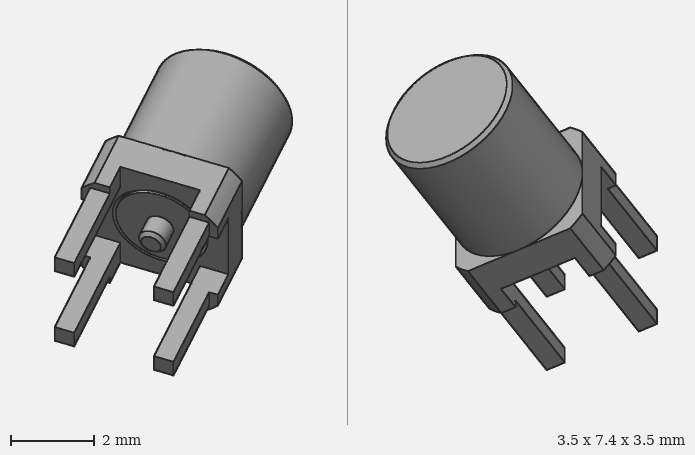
import cadquery as cq

base_width = 3.5
base_length = 1.6
corner_circle_radius = 2.25
channel_width = 2.04
channel_depth = 0.695

total_length = 7.4
leg_length = 2.36
barrel_length = total_length - leg_length - base_length
barrel_edge_chamfer = 0.1

leg_width = 0.5
leg_centre = (channel_width + leg_width) / 2

groove_radius = 1.22
groove_depth = 0.08
pin_radius = 0.35
pin_height = 0.61
pin_chamfer = 0.095


def disc(radius, start, end):
    """Cylinder about the Y axis from Y = start to Y = end."""
    plane = cq.Workplane("XZ", origin=(0, start, 0))
    return plane.circle(radius).extrude(start - end)


def block(size_x, size_z, start, end):
    """Box centred on the Y axis from Y = start to Y = end."""
    return cq.Workplane("XZ", origin=(0, start, 0)).rect(size_x, size_z).extrude(start - end)


def make_base():
    base = block(base_width, base_width, 0, base_length)
    base = base.intersect(disc(corner_circle_radius, 0, base_length))
    base = base.cut(block(base_width, channel_width, 0, channel_depth))
    return base.cut(block(channel_width, base_width, 0, channel_depth))


def make_barrel():
    barrel = disc(base_width / 2, base_length, base_length + barrel_length)
    return barrel.faces(">Y").chamfer(barrel_edge_chamfer)


def make_legs():
    corners = [(x, z) for x in (-leg_centre, leg_centre) for z in (-leg_centre, leg_centre)]
    return cq.Workplane("XZ").pushPoints(corners).rect(leg_width, leg_width).extrude(leg_length)


def make_groove():
    rim = cq.Workplane("XZ", origin=(0, channel_depth, 0)).circle(groove_radius)
    cone = rim.extrude(-groove_depth, taper=45)
    insulator = disc(groove_radius - groove_depth, channel_depth, channel_depth + groove_depth)
    return cone.cut(insulator)


def make_pin():
    pin = disc(pin_radius, channel_depth - pin_height, channel_depth)
    return pin.faces("<Y").chamfer(pin_chamfer)


result = make_base().union(make_barrel()).union(make_legs())
result = result.cut(make_groove()).union(make_pin())